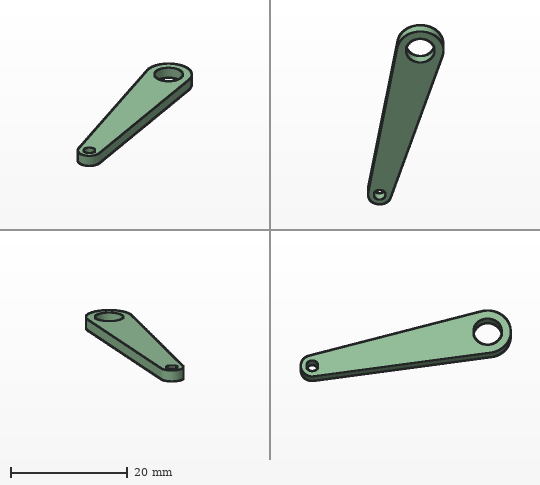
import cadquery as cq
import math

length = 36.85
thickness = 2.0
large_end_diameter = 8.0
small_end_diameter = 4.0
large_hole_diameter = 4.9
small_hole_diameter = 2.0

large_radius = large_end_diameter / 2
small_radius = small_end_diameter / 2
center_distance = length - large_radius - small_radius
small_end_y = -center_distance

corner_distance = math.hypot(center_distance, small_radius)
taper_angle = math.asin(large_radius / corner_distance) - math.atan(small_radius / center_distance)


def lever_plate():
    tangent_x = large_radius * math.cos(taper_angle)
    tangent_y = -large_radius * math.sin(taper_angle)
    return (
        cq.Workplane("XY")
        .moveTo(tangent_x, tangent_y)
        .threePointArc((0, large_radius), (-tangent_x, tangent_y))
        .lineTo(-small_radius, small_end_y)
        .threePointArc((0, small_end_y - small_radius), (small_radius, small_end_y))
        .close()
        .extrude(thickness)
    )


def through_hole(diameter, center_y):
    return cq.Workplane("XY").center(0, center_y).circle(diameter / 2).extrude(thickness)


result = (
    lever_plate()
    .cut(through_hole(large_hole_diameter, 0))
    .cut(through_hole(small_hole_diameter, small_end_y))
)